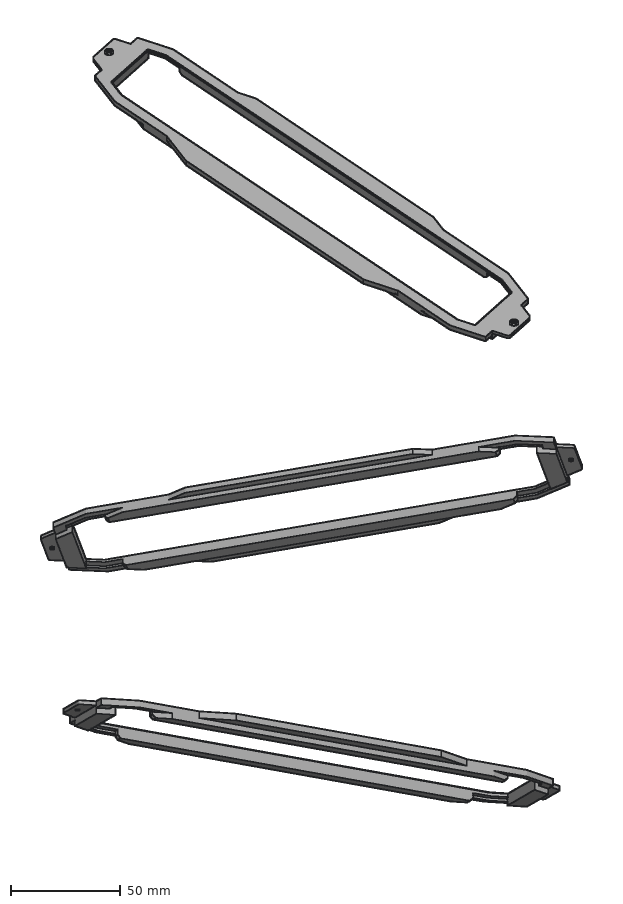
import cadquery as cq
import math

total_height = 6.0
frame_thickness = 3.3
web_thickness = 2.0
foot_height = total_height - frame_thickness

taper_angle = 18
taper_slope = math.tan(math.radians(taper_angle))

shoulder_x = 118.2
corner_x = 101.3
side_y = 20.5
shoulder_y = side_y - (shoulder_x - corner_x) * taper_slope
bulge_flat_x = 53.7
front_bulge_y = 25.7
front_bulge_x = bulge_flat_x + (front_bulge_y - side_y) / taper_slope
back_bulge_y = 23.2
back_bulge_x = bulge_flat_x + (back_bulge_y - side_y) / taper_slope

window_x = 109.5
window_corner_x = 101.5
window_y = 15.0
window_shoulder_y = window_y - (window_x - window_corner_x) * taper_slope
window_chamfer = 0.5
chamfer_angle = 45

relief_depth = frame_thickness - web_thickness
relief_width = 2.8

half_length = 126.0
tab_root_half_width = 10.0
tab_tip_half_width = tab_root_half_width - (half_length - shoulder_x) * taper_slope
tab_corner_radius = 1.3
hole_x = 122.5
hole_diameter = 2.2
counterbore_diameter = 4.0
counterbore_depth = 1.0

rail_end_x = 93.0
rail_outer_x = 84.1
rail_end_y = side_y - (rail_end_x - rail_outer_x) * taper_slope
rail_end_chamfer = 1.5

pad_inner_half_width = 12.8
pad_outer_half_width = pad_inner_half_width - (shoulder_x - window_x) * taper_slope


def mirrored_outline(right_points, bottom):
    """Closed outline whose +X half is given; the -X half is its mirror image."""
    left_points = [(-x, y) for x, y in reversed(right_points)]
    return cq.Workplane("XY").workplane(offset=bottom).polyline(right_points + left_points).close()


def window_outline(bottom):
    return mirrored_outline([
        (window_corner_x, -window_y),
        (window_x, -window_shoulder_y),
        (window_x, window_shoulder_y),
        (window_corner_x, window_y),
    ], bottom)


def frame_plate():
    """Bulged frame with a relieved underside; the window itself is cut later."""
    outline = mirrored_outline([
        (bulge_flat_x, -front_bulge_y),
        (front_bulge_x, -side_y),
        (corner_x, -side_y),
        (shoulder_x, -shoulder_y),
        (shoulder_x, shoulder_y),
        (corner_x, side_y),
        (back_bulge_x, side_y),
        (bulge_flat_x, back_bulge_y),
    ], foot_height)
    relief_outline = window_outline(foot_height).offset2D(relief_width, "intersection")
    return outline.extrude(frame_thickness).cut(relief_outline.extrude(relief_depth))


def tab(side):
    """Tapered mounting tab with rounded corners; side is +1 or -1 along X."""
    blank = (
        cq.Workplane("XY")
        .workplane(offset=total_height - web_thickness)
        .polyline([
            (side * window_x, -tab_root_half_width),
            (side * shoulder_x, -tab_root_half_width),
            (side * half_length, -tab_tip_half_width),
            (side * half_length, tab_tip_half_width),
            (side * shoulder_x, tab_root_half_width),
            (side * window_x, tab_root_half_width),
        ])
        .close()
        .extrude(web_thickness)
    )
    tip_edges = "|Z and >X" if side > 0 else "|Z and <X"
    return blank.edges(tip_edges).fillet(tab_corner_radius)


def rail(side):
    """Long rail reaching up to the web; side is +1 or -1 along Y."""
    blank = mirrored_outline([
        (rail_end_x, side * window_y),
        (rail_end_x, side * rail_end_y),
        (rail_outer_x, side * side_y),
    ], 0).extrude(foot_height + relief_depth)
    return blank.faces("<X or >X").edges("<Z").chamfer(rail_end_chamfer)


def end_pad(side):
    """Pad reaching up to the web and narrowing outward; side is +1 or -1 along X."""
    return (
        cq.Workplane("XY")
        .polyline([
            (side * window_x, -pad_inner_half_width),
            (side * shoulder_x, -pad_outer_half_width),
            (side * shoulder_x, pad_outer_half_width),
            (side * window_x, pad_inner_half_width),
        ])
        .close()
        .extrude(foot_height + relief_depth)
    )


result = frame_plate()
for side in (-1, 1):
    result = result.union(tab(side))
    result = result.union(rail(side))
    result = result.union(end_pad(side))

result = result.cut(window_outline(0).extrude(total_height))
chamfer_bottom = total_height - window_chamfer
result = result.cut(window_outline(chamfer_bottom).extrude(window_chamfer, taper=-chamfer_angle))

result = (
    result.faces(">Z")
    .workplane(origin=(0, 0, total_height))
    .pushPoints([(-hole_x, 0), (hole_x, 0)])
    .cboreHole(hole_diameter, counterbore_diameter, counterbore_depth)
)